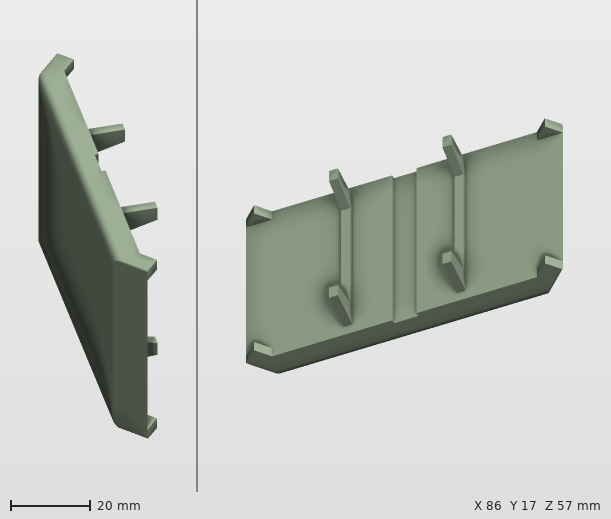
import cadquery as cq

length = 86.0
height = 57.0
thickness = 7.05
total_depth = 17.0

bend_angle = 45
bend_x = length / 2 - thickness
end_offset = 3.5
bend_radius = 3.7
panel_edge_radius = 2.1
flange_edge_radius = 0.5

lip_recess_half_height = 25.3

groove_width = 6.5
groove_depth = 1.0

rib_spacing = 30.8
rib_thickness = 2.4
rib_back_y = 8.6
leg_base_outer_z = lip_recess_half_height
leg_base_inner_z = 18.7
leg_tip_outer_z = 24.9
leg_tip_inner_z = 20.9


def rounded_envelope(radius):
    """Oversized block of the part's height, with its two front X edges rounded."""
    block = cq.Workplane("XY").box(4 * length, 2 * length, height)
    return block.translate((0, length, 0)).edges("|X and <Y").fillet(radius)


def make_panel():
    """Bent plate with rounded bends, front edges and flange edges."""
    half_length = length / 2
    lip_x = half_length - end_offset
    lip_y = thickness + end_offset
    inner_bend_x = lip_x - end_offset
    outline = [
        (-bend_x, 0),
        (bend_x, 0),
        (half_length, thickness),
        (lip_x, lip_y),
        (inner_bend_x, thickness),
        (-inner_bend_x, thickness),
        (-lip_x, lip_y),
        (-half_length, thickness),
    ]
    plate = cq.Workplane("XY").polyline(outline).close().extrude(height / 2, both=True)

    plate = plate.edges(cq.selectors.NearestToPointSelector((-bend_x, 0, 0))).fillet(bend_radius)
    plate = plate.edges(cq.selectors.NearestToPointSelector((bend_x, 0, 0))).fillet(bend_radius)

    plate = plate.intersect(rounded_envelope(panel_edge_radius))
    for side in (-1, 1):
        flange_envelope = rounded_envelope(flange_edge_radius).rotate((0, 0, 0), (0, 0, 1), side * bend_angle)
        plate = plate.intersect(flange_envelope.translate((side * bend_x, 0, 0)))
    return plate


def make_rib():
    """Low rib along Z whose two ends rise into tapered legs."""
    profile = [
        (thickness / 2, -leg_base_outer_z),
        (thickness, -leg_base_outer_z),
        (total_depth, -leg_tip_outer_z),
        (total_depth, -leg_tip_inner_z),
        (rib_back_y, -leg_base_inner_z),
        (rib_back_y, leg_base_inner_z),
        (total_depth, leg_tip_inner_z),
        (total_depth, leg_tip_outer_z),
        (thickness, leg_base_outer_z),
        (thickness / 2, leg_base_outer_z),
    ]
    return cq.Workplane("YZ").polyline(profile).close().extrude(rib_thickness / 2, both=True)


lip_recess = cq.Workplane("XY").box(length, total_depth, 2 * lip_recess_half_height)
lip_recess = lip_recess.translate((0, thickness + total_depth / 2, 0))

groove = cq.Workplane("XY").box(groove_width, 2 * groove_depth, height)
groove = groove.translate((0, thickness, 0))

result = make_panel().cut(lip_recess).cut(groove)
for side in (-1, 1):
    result = result.union(make_rib().translate((side * rib_spacing / 2, 0, 0)))